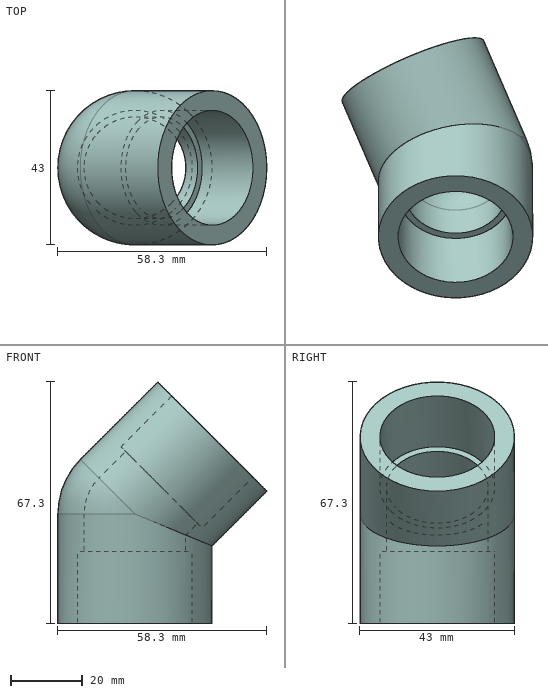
import math

import cadquery as cq

bend_angle = math.radians(45)
outer_diameter = 43.0
socket_diameter = 32.0
bore_diameter = 28.33
leg_length = 30.5
socket_depth = 20.0

lower_direction = cq.Vector(0, 0, -1)
upper_direction = cq.Vector(math.sin(bend_angle), 0, math.cos(bend_angle))
leg_directions = [lower_direction, upper_direction]


def leg_cylinder(direction, diameter, start, end):
    """Cylinder along a leg axis, between two distances from the knee centre."""
    return cq.Workplane(
        cq.Solid.makeCylinder(diameter / 2, end - start, direction * start, direction)
    )


def elbow_form(diameter):
    """Solid elbow of one diameter: a ball at the knee and a cylinder along each leg."""
    form = cq.Workplane().sphere(diameter / 2)
    for direction in leg_directions:
        form = form.union(leg_cylinder(direction, diameter, 0, leg_length))
    return form


def cut_sockets(body):
    """Widen the mouth of each leg down to the pipe stop."""
    ledge_distance = leg_length - socket_depth
    for direction in leg_directions:
        body = body.cut(leg_cylinder(direction, socket_diameter, ledge_distance, leg_length))
    return body


result = cut_sockets(elbow_form(outer_diameter).cut(elbow_form(bore_diameter)))